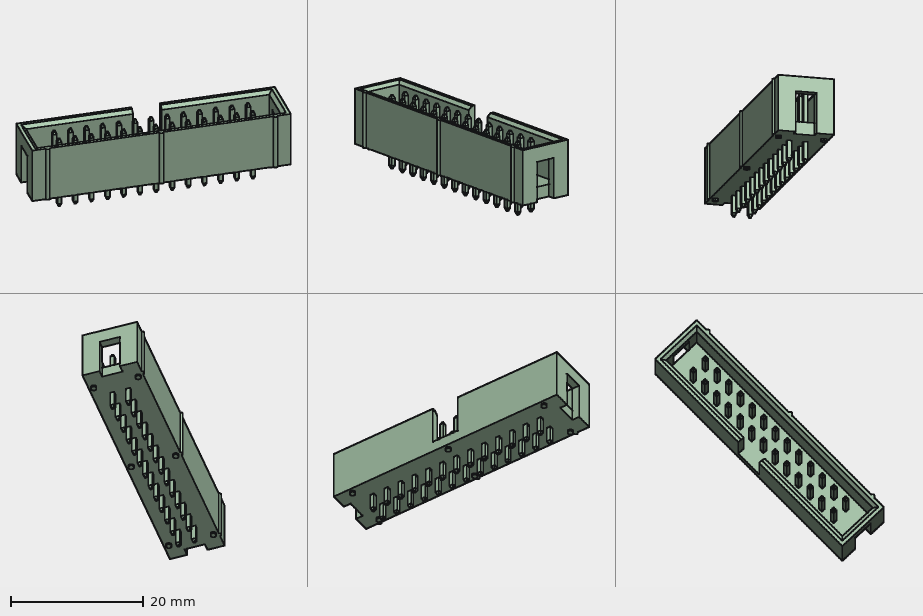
import cadquery as cq

body_length = 40.7
body_width = 8.75
body_height = 8.75
side_wall = 1.2
end_wall = 1.22
floor_top = 1.95
rim_chamfer = 0.6
rim_chamfer_depth = 0.53
cavity_width = body_width - 2 * side_wall
cavity_length = body_length - 2 * end_wall

end_slot_width = 3.25
end_slot_top = 6.4
key_slot_width = 4.5

pin_rows = 2
pins_per_row = 13
row_length = 30.45
pin_pitch = row_length / (pins_per_row - 1)
pin_size = 0.65
pin_tip_size = 0.2
pin_tip_height = 0.53
pin_top = 8.4
pin_bottom = -3.25

foot_diameter = 0.85
foot_height = 0.3
foot_inset = 0.8
foot_x = body_width / 2 - foot_inset
foot_y = 17.45

rib_width = 0.7
rib_height = 0.3
rib_spacing = 17.9


def block(x_size, y_size, z_low, z_high):
    """Upright box centred on the Z axis."""
    return cq.Workplane("XY").workplane(offset=z_low).rect(x_size, y_size).extrude(z_high - z_low)


def tapered(base_x, base_y, z_base, top_x, top_y, z_top):
    """Rectangular frustum between two levels, centred on the Z axis."""
    return (
        cq.Workplane("XY", origin=(0, 0, z_base))
        .rect(base_x, base_y)
        .workplane(offset=z_top - z_base)
        .rect(top_x, top_y)
        .loft(ruled=True)
    )


def make_housing():
    housing = block(body_width, body_length, 0, body_height)
    cavity = block(cavity_width, cavity_length, floor_top, body_height)
    rim = tapered(
        cavity_width, cavity_length, body_height - rim_chamfer_depth,
        cavity_width + 2 * rim_chamfer, cavity_length + 2 * rim_chamfer, body_height,
    )
    housing = housing.cut(cavity).cut(rim)

    end_slot = block(end_slot_width, end_wall, 0, end_slot_top)
    for side in (-1, 1):
        housing = housing.cut(end_slot.translate((0, side * (body_length - end_wall) / 2, 0)))

    key_slot = block(side_wall, key_slot_width, floor_top, body_height)
    return housing.cut(key_slot.translate((-(body_width - side_wall) / 2, 0, 0)))


def make_pin():
    shank_low = pin_bottom + pin_tip_height
    shank_high = pin_top - pin_tip_height
    shank = block(pin_size, pin_size, shank_low, shank_high)
    upper_tip = tapered(pin_size, pin_size, shank_high, pin_tip_size, pin_tip_size, pin_top)
    lower_tip = tapered(pin_tip_size, pin_tip_size, pin_bottom, pin_size, pin_size, shank_low)
    return shank.union(upper_tip).union(lower_tip)


def make_rib():
    """Full-height rounded rib standing on the +X wall."""
    wall = body_width / 2
    return (
        cq.Workplane("XY")
        .moveTo(wall, -rib_width / 2)
        .threePointArc((wall + rib_height, 0), (wall, rib_width / 2))
        .close()
        .extrude(body_height)
    )


result = make_housing()

pin = make_pin()
for row in range(pin_rows):
    for position in range(pins_per_row):
        pin_x = (row - (pin_rows - 1) / 2) * pin_pitch
        pin_y = (position - (pins_per_row - 1) / 2) * pin_pitch
        result = result.union(pin.translate((pin_x, pin_y, 0)))

foot = cq.Workplane("XY").circle(foot_diameter / 2).extrude(-foot_height)
rib = make_rib()
for station in (-1, 0, 1):
    result = result.union(rib.translate((0, station * rib_spacing, 0)))
    for side in (-1, 1):
        result = result.union(foot.translate((side * foot_x, station * foot_y, 0)))